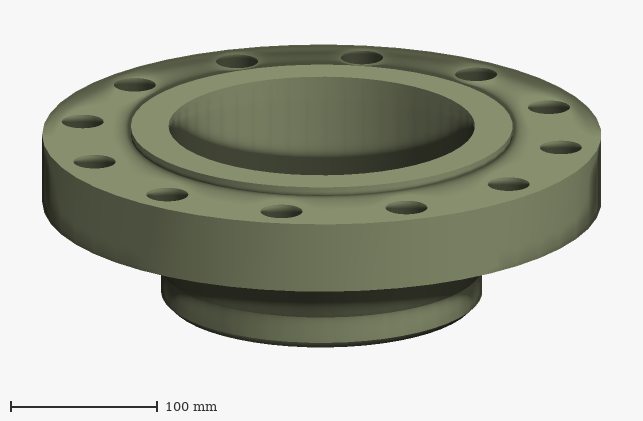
import cadquery as cq

flange_diameter = 381.0
flange_thickness = 48.5
face_diameter = 260.2
face_height = 6.0

total_height = 124.0
hub_diameter = 259.0
neck_diameter = 219.0
neck_length = 23.2
bevel_width = 5.0
bevel_height = 5.0

bore_diameter = 208.8
bolt_circle_diameter = 330.5
bolt_hole_diameter = 28.5
bolt_count = 12

flange_top = total_height - face_height
flange_bottom = flange_top - flange_thickness


def disc(diameter, bottom, height):
    return cq.Workplane("XY").workplane(offset=bottom).circle(diameter / 2).extrude(height)


def weld_neck():
    """Straight, bevelled weld end widening into a conical hub."""
    hub_radius = hub_diameter / 2
    neck_radius = neck_diameter / 2
    return (
        cq.Workplane("XZ")
        .lineTo(neck_radius - bevel_width, 0)
        .lineTo(neck_radius, bevel_height)
        .lineTo(neck_radius, neck_length)
        .lineTo(hub_radius, flange_bottom)
        .lineTo(0, flange_bottom)
        .close()
        .revolve(360, (0, 0, 0), (0, 1, 0))
    )


def bolt_holes():
    """Through holes straddling the X and Y axes."""
    half_pitch = 360 / bolt_count / 2
    return (
        cq.Workplane("XY")
        .workplane(offset=flange_bottom)
        .polarArray(bolt_circle_diameter / 2, half_pitch, 360, bolt_count)
        .circle(bolt_hole_diameter / 2)
        .extrude(flange_thickness)
    )


flange = disc(flange_diameter, flange_bottom, flange_thickness)
raised_face = disc(face_diameter, flange_top, face_height)
bore = disc(bore_diameter, 0, total_height)

result = flange.union(raised_face).union(weld_neck()).cut(bore).cut(bolt_holes())